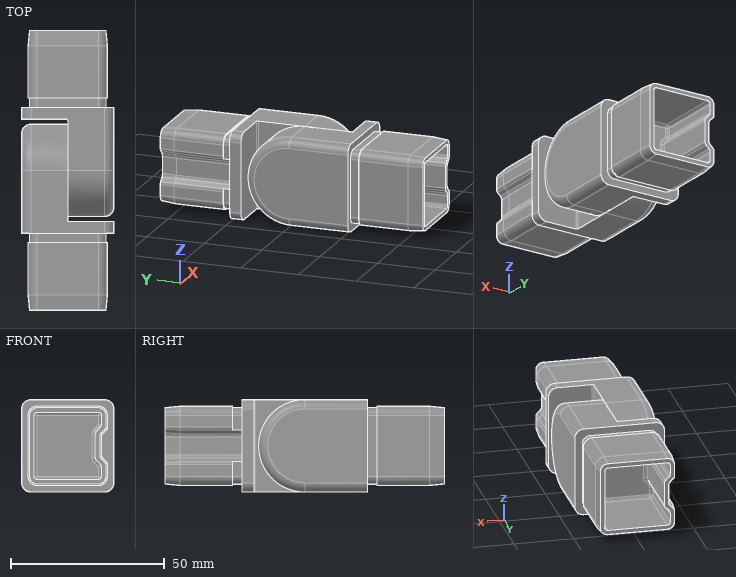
import cadquery as cq
import math

TOTAL_LENGTH = 91.0
BODY_WIDTH = 30.0
HALF_WIDTH = BODY_WIDTH / 2
EDGE_RADIUS = 3.0

SHOULDER_REACH = 20.5
FLANGE_THICKNESS = 3.9
FLANGE_INNER_REACH = SHOULDER_REACH - FLANGE_THICKNESS
ROOT_RADIUS = 0.5

PLUG_WIDTH = 25.8
PLUG_CORNER_RADIUS = 3.0
PLUG_LENGTH = TOTAL_LENGTH / 2 - SHOULDER_REACH
NECK_LENGTH = 3.0
NECK_INSET = 0.41
TIP_LENGTH = 5.0
TIP_INSET = 0.5
TIP_ANGLE = math.degrees(math.atan(TIP_INSET / TIP_LENGTH))

GROOVE_DEPTH = 2.0
GROOVE_MOUTH = 11.0
GROOVE_RADIUS = 1.5

CAVITY_WIDTH = 21.8
CAVITY_INSET = (PLUG_WIDTH - CAVITY_WIDTH) / 2
CAVITY_RADIUS = 1.0
CAVITY_DEPTH = PLUG_LENGTH

SELECTION_MARGIN = 0.1


def groove_cutter(half):
    """Trapezoid groove (45 degree flanks) in the +X face of a square of the given half width."""
    inset = PLUG_WIDTH / 2 - half
    half_mouth = GROOVE_MOUTH / 2 + inset * math.tan(math.radians(22.5))
    half_floor = half_mouth - GROOVE_DEPTH
    floor = half - GROOVE_DEPTH
    outline = [(half, -half_mouth), (floor, -half_floor), (floor, half_floor), (half, half_mouth)]
    return cq.Workplane("XZ").polyline(outline).close().extrude(TOTAL_LENGTH)


def grooved_prism(start, length, inset, corner_radius):
    """Rounded square prism with a groove, running towards -Y from the plane y = -start."""
    half = PLUG_WIDTH / 2 - inset
    prism = (
        cq.Workplane("XZ", origin=(0, -start, 0))
        .rect(2 * half, 2 * half)
        .extrude(length)
        .edges("|Y")
        .fillet(corner_radius)
        .cut(groove_cutter(half))
    )
    reach = half - corner_radius - SELECTION_MARGIN
    groove_zone = cq.selectors.BoxSelector((0, -TOTAL_LENGTH, -reach), (BODY_WIDTH, 0, reach))
    return prism.edges("|Y").edges(groove_zone).fillet(GROOVE_RADIUS)


def make_plug():
    """Solid plug: recessed neck, straight shank and tapered tip."""
    shank_length = PLUG_LENGTH - TIP_LENGTH
    plug = grooved_prism(SHOULDER_REACH, shank_length, 0, PLUG_CORNER_RADIUS)

    neck_width = PLUG_WIDTH - 2 * NECK_INSET
    neck_plane = cq.Workplane("XZ", origin=(0, -SHOULDER_REACH, 0))
    neck_core = (
        neck_plane.rect(neck_width, neck_width)
        .extrude(NECK_LENGTH)
        .edges("|Y")
        .fillet(PLUG_CORNER_RADIUS - NECK_INSET)
    )
    plug = plug.cut(neck_plane.rect(BODY_WIDTH, BODY_WIDTH).extrude(NECK_LENGTH).cut(neck_core))

    tip = plug.faces("<Y").wires().toPending().workplane().extrude(TIP_LENGTH, taper=TIP_ANGLE, combine=False)
    return plug.union(tip)


def make_cavity():
    """Blind cavity with a rounded floor edge."""
    cavity_start = TOTAL_LENGTH / 2 - CAVITY_DEPTH
    cavity = grooved_prism(cavity_start, CAVITY_DEPTH, CAVITY_INSET, CAVITY_RADIUS)
    return cavity.faces(">Y").edges().fillet(CAVITY_RADIUS)


def make_hinge_block():
    """Full-width flange with a round-ended arm on the -X half."""
    flange = (
        cq.Workplane("XZ", origin=(0, -FLANGE_INNER_REACH, 0))
        .rect(BODY_WIDTH, BODY_WIDTH)
        .extrude(FLANGE_THICKNESS)
        .edges("|Y")
        .fillet(EDGE_RADIUS)
    )
    arm = (
        cq.Workplane("YZ", origin=(-HALF_WIDTH, 0, 0))
        .moveTo(-SHOULDER_REACH, -HALF_WIDTH)
        .lineTo(0, -HALF_WIDTH)
        .threePointArc((HALF_WIDTH, 0), (0, HALF_WIDTH))
        .lineTo(-SHOULDER_REACH, HALF_WIDTH)
        .close()
        .extrude(HALF_WIDTH)
    )
    arm = arm.faces("<X").edges("not <Y").fillet(EDGE_RADIUS)
    block = flange.union(arm)
    root = cq.selectors.NearestToPointSelector((0, -FLANGE_INNER_REACH, 0))
    return block.edges("|Z").edges(root).fillet(ROOT_RADIUS)


def make_hinge_half():
    """One body: hinge block and plug, hollowed by the cavity."""
    return make_hinge_block().union(make_plug()).cut(make_cavity())


hinge_halves = [make_hinge_half().rotate((0, 0, 0), (0, 0, 1), angle).solids().val() for angle in (0, 180)]

result = cq.Compound.makeCompound(hinge_halves)